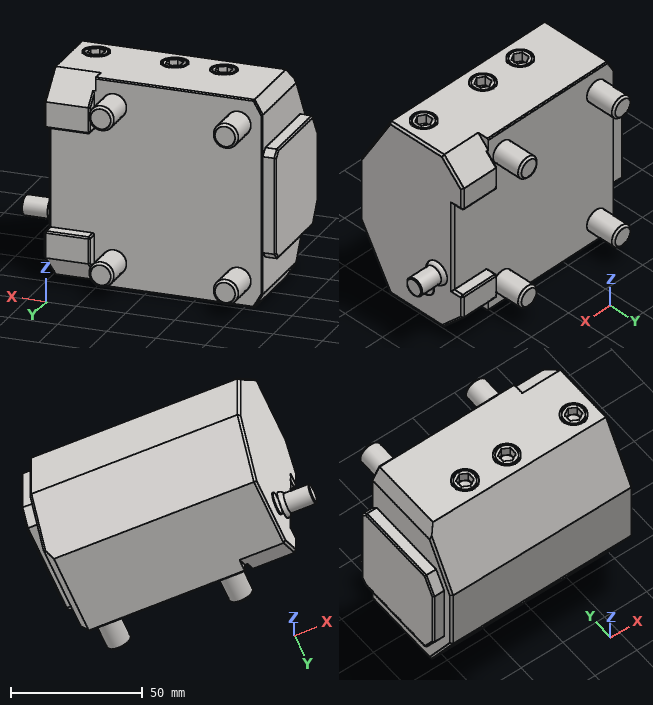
import cadquery as cq
import math

OVERALL_LENGTH = 104.9
OVERALL_DEPTH = 64.0
OVERALL_HEIGHT = 85.0

plate_thickness = 5.2
plate_height = 44.7
plate_back_gap = 0.4
plate_front_y = -45.3
plate_back_bevel = 2.7
plate_front_bevel_y = 5.0
plate_front_bevel_z = 8.2
plate_edge_chamfer = 0.6

stud_length = 14.3
plug_length = 12.6
housing_length = OVERALL_LENGTH - plate_thickness - plug_length
housing_depth = OVERALL_DEPTH - stud_length
half_height = OVERALL_HEIGHT / 2
slope_angle = math.radians(60)
slope_depth = 15.8
slope_rise = slope_depth * math.tan(slope_angle)
end_bevel_length = 3.4
end_bevel_drop = end_bevel_length * math.tan(slope_angle)
edge_chamfer = 0.9
back_chamfer = 0.5

pocket_x = 67.9
foot_x = 68.3
foot_projection = 5.1
foot_bevel_start = 5.5
foot_inner_z = 21.1
foot_chamfer = 0.6

stud_diameter = 10.1
stud_first_x = 9.8
stud_spacing = 50.6
stud_z = 31.9
stud_chamfer = 0.9

screw_positions_x = (25.3, 45.3, 77.2)
screw_y = -25.3
screw_hole_diameter = 10.7
screw_head_diameter = 9.0
screw_groove_depth = 0.6
socket_across_flats = 6.0
socket_depth = 4.2
socket_cone_depth = 1.6

plug_y = -8.3
plug_z = -17.0
plug_radius = 4.1
plug_shoulder_radius = 5.3
plug_shoulder_length = 2.0
plug_shoulder_bulge = 0.3
plug_tip_chamfer = 0.4
disc_y = -14.4
disc_z = -26.5
disc_radius = 4.4
disc_thickness = 0.4


def make_housing():
    """Prism with two sloped front faces and bevelled left end."""
    front_half_height = half_height - slope_rise
    slope_start_y = slope_depth - housing_depth
    body = (
        cq.Workplane("YZ")
        .polyline([
            (0, -half_height),
            (0, half_height),
            (slope_start_y, half_height),
            (-housing_depth, front_half_height),
            (-housing_depth, -front_half_height),
            (slope_start_y, -half_height),
        ])
        .close()
        .extrude(housing_length)
    )
    end_edges = cq.selectors.BoxSelector(
        (-edge_chamfer, -OVERALL_DEPTH, -half_height + edge_chamfer),
        (edge_chamfer, slope_start_y, half_height - edge_chamfer),
    )
    body = body.faces("<X").edges(end_edges).chamfer(edge_chamfer)
    for side in (1, -1):
        bevel = (
            cq.Workplane("XZ")
            .polyline([
                (0, side * half_height),
                (end_bevel_length, side * half_height),
                (0, side * (half_height - end_bevel_drop)),
            ])
            .close()
            .extrude(housing_depth)
        )
        body = body.cut(bevel)
    return body


def foot_slope_tool():
    """Wedge above the upper foot, removed from the housing and the foot."""
    reach = foot_bevel_start + foot_projection
    return (
        cq.Workplane("YZ", origin=(pocket_x, -foot_bevel_start, half_height))
        .polyline([(0, 0), (reach, 0), (reach, -reach)])
        .close()
        .extrude(housing_length - pocket_x)
    )


def make_foot():
    """Upper foot block, rooted inside the housing."""
    foot = cq.Workplane("XY").box(
        housing_length - foot_x,
        foot_bevel_start + foot_projection,
        half_height - foot_inner_z,
        centered=False,
    ).translate((foot_x, -foot_bevel_start, foot_inner_z))
    foot = foot.cut(foot_slope_tool())
    foot = foot.faces(">Y").edges("<Z").chamfer(foot_chamfer)
    return foot.faces("<X").edges("not <Y").chamfer(foot_chamfer)


def make_stud(x, z):
    """Cylindrical stud with a chamfered tip, pointing backwards."""
    return (
        cq.Workplane("XZ", origin=(x, 0, z))
        .circle(stud_diameter / 2)
        .extrude(-stud_length)
        .faces(">Y")
        .chamfer(stud_chamfer)
    )


def make_plate():
    """Cover plate with bevelled corners and a chamfered outer rim."""
    top_z = plate_height / 2
    back_y = -plate_back_gap
    upper = [
        (back_y, top_z - plate_back_bevel),
        (back_y - plate_back_bevel, top_z),
        (plate_front_y + plate_front_bevel_y, top_z),
        (plate_front_y, top_z - plate_front_bevel_z),
    ]
    lower = [(y, -z) for y, z in reversed(upper)]
    return (
        cq.Workplane("YZ")
        .polyline(upper + lower)
        .close()
        .extrude(-plate_thickness)
        .faces("<X")
        .chamfer(plate_edge_chamfer)
    )


def screw_recess(x):
    """Groove around a flush screw head plus its hexagon socket with a conical floor."""
    top = cq.Workplane("XY", origin=(x, screw_y, half_height))
    groove = (
        top.circle(screw_hole_diameter / 2)
        .circle(screw_head_diameter / 2)
        .extrude(-screw_groove_depth)
    )
    across_corners = socket_across_flats / math.cos(math.pi / 6)
    socket = (
        top.transformed(rotate=(0, 0, 90))
        .polygon(6, across_corners)
        .extrude(-socket_depth)
    )
    cone = cq.Workplane(cq.Solid.makeCone(
        socket_across_flats / 2, 0, socket_cone_depth,
        cq.Vector(x, screw_y, half_height - socket_depth), cq.Vector(0, 0, -1),
    ))
    return groove.union(socket.union(cone))


def make_plug():
    """Turned connector with a rounded shoulder, along X."""
    return (
        cq.Workplane("XY", origin=(housing_length, plug_y, plug_z))
        .lineTo(0, plug_shoulder_radius)
        .sagittaArc((plug_shoulder_length, plug_radius), plug_shoulder_bulge)
        .lineTo(plug_length - plug_tip_chamfer, plug_radius)
        .lineTo(plug_length, plug_radius - plug_tip_chamfer)
        .lineTo(plug_length, 0)
        .close()
        .revolve(360, (0, 0, 0), (1, 0, 0))
    )


def make_disc():
    """Thin raised disc beside the connector."""
    return (
        cq.Workplane("YZ", origin=(housing_length, disc_y, disc_z))
        .circle(disc_radius)
        .extrude(disc_thickness)
    )


slope_tool = foot_slope_tool()
foot = make_foot()
result = make_housing()
result = result.cut(slope_tool).cut(slope_tool.mirror("XY"))
result = result.union(foot).union(foot.mirror("XY"))
result = result.faces(">X").chamfer(edge_chamfer)

back_edges = cq.selectors.BoxSelector(
    (-1, -back_chamfer, -OVERALL_HEIGHT),
    (pocket_x - back_chamfer, back_chamfer, OVERALL_HEIGHT),
)
result = result.edges(back_edges).chamfer(back_chamfer)

for stud_x in (stud_first_x, stud_first_x + stud_spacing):
    for z in (stud_z, -stud_z):
        result = result.union(make_stud(stud_x, z))

for screw_x in screw_positions_x:
    result = result.cut(screw_recess(screw_x))

result = result.union(make_plate()).union(make_plug()).union(make_disc())